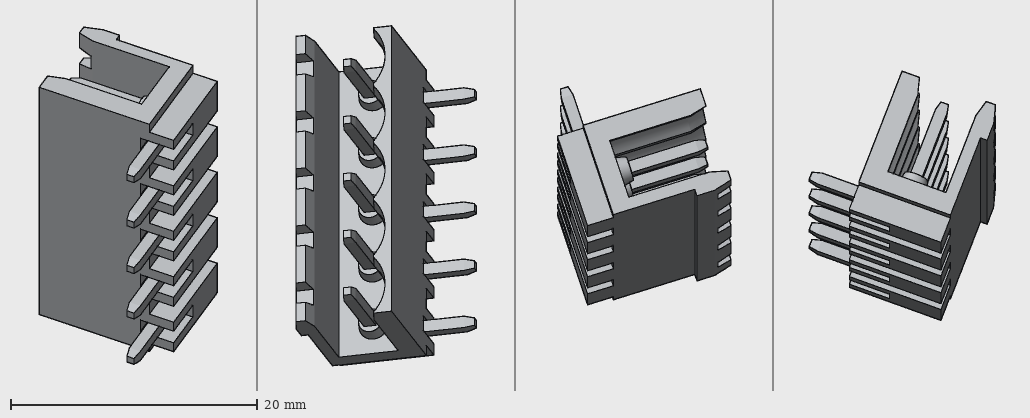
import cadquery as cq


pin_count = 5
pitch = 5.0
height = pin_count * pitch
depth = 12.2
overall_width = 12.6
pin_levels = [(i + 0.5) * pitch for i in range(pin_count)]
pitch_boundaries = [i * pitch for i in range(pin_count + 1)]

housing_top = 7.95
cavity_low = 1.9
cavity_high = 6.92
cavity_depth = 8.35
lead_in_length = 1.42
lead_in_rise = 0.38

lip_top = 8.52
lip_rear = 3.05
lip_slope_length = 1.55
lip_slope_drop = 0.42

notch_depth = 1.22
notch_mouth = 1.78
notch_floor = 1.38

tooth_root = 10.0
tooth_gap = 1.75
slot_front = 9.18
slot_width = 1.28

pin_width = 1.0
pin_axis = 3.98
pin_front = 0.75
solder_tip_y = lip_top - overall_width
solder_leg_center = 10.3
tip_width = 0.65
tip_length = 0.82
pin_low = pin_axis - pin_width / 2
pin_high = pin_axis + pin_width / 2
leg_rear = solder_leg_center + pin_width / 2

collar_length = 1.02
collar_base_radius = 1.25
collar_end_radius = 1.0
scallop_radius = 3.05
scallop_mouth_radius = 3.42


def cone_along_x(start, end, start_radius, end_radius, level):
    """Round frustum about a pin axis, from X = start to X = end."""
    return (
        cq.Workplane("XY")
        .moveTo(start, 0)
        .lineTo(start, start_radius)
        .lineTo(end, end_radius)
        .lineTo(end, 0)
        .close()
        .revolve(360, (0, 0, 0), (1, 0, 0))
        .translate((0, pin_axis, level))
    )


def block(x_range, y_range, z_center, z_width):
    """Box given by its X and Y limits, centred on a Z level."""
    return cq.Workplane("XY").box(
        x_range[1] - x_range[0], y_range[1] - y_range[0], z_width, centered=(False, False, True)
    ).translate((x_range[0], y_range[0], z_center))


def square_pin(length):
    """Square pin along +Z from the origin, with a tapered tip."""
    shank_length = length - tip_length
    shank = cq.Workplane("XY").rect(pin_width, pin_width).extrude(shank_length)
    tip = (
        cq.Workplane("XY", origin=(0, 0, shank_length))
        .rect(pin_width, pin_width)
        .workplane(offset=tip_length)
        .rect(tip_width, tip_width)
        .loft(ruled=True)
    )
    return shank.union(tip)


def housing_profile():
    """U-shaped section with the latch lip and the sloped mating edges."""
    return (
        cq.Workplane("XY")
        .polyline([
            (0, 0),
            (depth, 0),
            (depth, housing_top),
            (lip_rear, housing_top),
            (lip_rear, lip_top),
            (lip_slope_length, lip_top),
            (0, lip_top - lip_slope_drop),
            (0, cavity_high + lead_in_rise),
            (lead_in_length, cavity_high),
            (cavity_depth, cavity_high),
            (cavity_depth, cavity_low),
            (lead_in_length, cavity_low),
            (0, cavity_low - lead_in_rise),
        ])
        .close()
        .extrude(height)
    )


def scallop(level):
    """Round trough in the lower wall, flared towards the mating edge."""
    flare = cone_along_x(0, lead_in_length, scallop_mouth_radius, scallop_radius, level)
    trough = cone_along_x(lead_in_length, cavity_depth, scallop_radius, scallop_radius, level)
    lower_half = block((0, cavity_depth), (0, pin_axis), level, pitch)
    return flare.union(trough).intersect(lower_half)


def latch_notch(level):
    """Notch through the latch wall, narrowing from its mouth to its floor."""
    return (
        cq.Workplane("XZ", origin=(0, lip_top, level))
        .polyline([
            (0, -notch_mouth / 2),
            (notch_depth, -notch_floor / 2),
            (notch_depth, notch_floor / 2),
            (0, notch_mouth / 2),
        ])
        .close()
        .extrude(lip_top - cavity_high)
    )


def contact(level):
    """Right-angle contact: mating pin, solder leg and the collar at the cavity wall."""
    mating_pin = (
        square_pin(leg_rear - pin_front)
        .rotate((0, 0, 0), (0, 1, 0), -90)
        .translate((leg_rear, pin_axis, level))
    )
    solder_leg = (
        square_pin(pin_high - solder_tip_y)
        .rotate((0, 0, 0), (1, 0, 0), 90)
        .translate((solder_leg_center, pin_high, level))
    )
    collar = cone_along_x(
        cavity_depth - collar_length, cavity_depth, collar_end_radius, collar_base_radius, level
    )
    return mating_pin.union(solder_leg).union(collar)


body = housing_profile()

for boundary in pitch_boundaries:
    body = body.cut(block((tooth_root, depth), (0, housing_top), boundary, tooth_gap))

for pin_level in pin_levels:
    body = body.cut(scallop(pin_level))
    body = body.cut(latch_notch(pin_level))
    body = body.cut(block((slot_front, depth), (0, pin_low), pin_level, slot_width))

for pin_level in pin_levels:
    body = body.union(contact(pin_level))

result = body